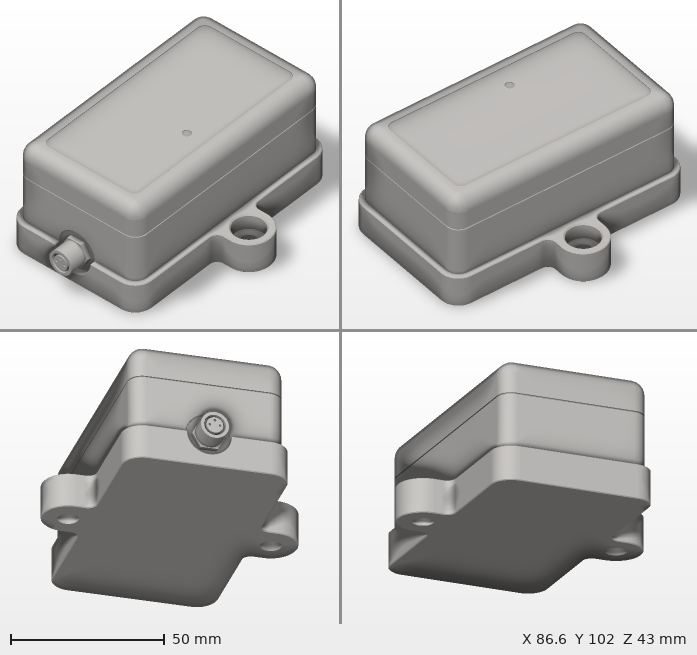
import cadquery as cq

base_width = 56.0
base_length = 96.0
base_height = 12.0
base_corner_radius = 7.0
base_edge_chamfer = 0.3

ear_offset = 34.3
ear_radius = 9.0
ear_root_fillet = 3.0
screw_hole_diameter = 7.0
screw_head_diameter = 12.0
screw_head_depth = 6.0
hole_chamfer = 0.5

ledge_width = 2
body_width = base_width - 2 * ledge_width
body_length = base_length - 2 * ledge_width
total_height = 43.0
body_corner_radius = base_corner_radius - ledge_width
corner_margin = 0.01
lid_edge_radius = body_corner_radius - corner_margin

seam_height = 30.6
seam_gap = 0.5
seam_depth = 0.5

label_width = 40.0
label_length = 80.0
label_corner_radius = 3.0
label_depth = 0.3
indicator_x = 11.8
indicator_y = -5.0
indicator_diameter = 3.3
indicator_depth = 0.3

connector_z = base_height
pocket_diameter = 15.1
pocket_chamfer = 0.3
pocket_floor_depth = 0.5
nut_across_corners = 11.5
nut_reach = 1.2
plug_diameter = 9.5
overall_length = 102
socket_groove_diameter = 7.3
socket_groove_depth = 2
core_diameter = 5.6
pin_circle_radius = 1.7
pin_diameter = 0.9
pin_hole_depth = 1

wall_y = -body_length / 2
base_front_y = -base_length / 2
pocket_floor_y = wall_y + pocket_floor_depth
nut_front_y = wall_y - nut_reach
plug_tip_y = base_length / 2 - overall_length


def rounded_block(width, length, height, corner_radius, bottom_z):
    """Upright block with rounded vertical edges, centred on the Z axis."""
    block = cq.Workplane("XY").workplane(offset=bottom_z).rect(width, length).extrude(height)
    return block.edges("|Z").fillet(corner_radius)


def connector_plane(y):
    """Sketch plane facing -Y, centred on the connector axis."""
    return cq.Workplane("XZ", origin=(0, y, connector_z))


def make_base():
    base = rounded_block(base_width, base_length, base_height, base_corner_radius, 0)
    ears = cq.Workplane("XY").slot2D(2 * (ear_offset + ear_radius), 2 * ear_radius).extrude(base_height)
    base = base.union(ears)
    root_x = base_width / 2
    for x in (-root_x, root_x):
        for y in (-ear_radius, ear_radius):
            corner = cq.selectors.NearestToPointSelector((x, y, base_height / 2))
            base = base.edges("|Z").edges(corner).fillet(ear_root_fillet)
    return base.faces("<Z or >Z").edges().chamfer(base_edge_chamfer)


def make_body():
    body = rounded_block(body_width, body_length, total_height, body_corner_radius, 0)
    return body.faces(">Z").edges().fillet(lid_edge_radius)


def make_screw_holes():
    head_seat_z = base_height - screw_head_depth
    hole_radius = screw_hole_diameter / 2
    head_radius = screw_head_diameter / 2
    profile = [
        (0, 0),
        (hole_radius, 0),
        (hole_radius, head_seat_z - hole_chamfer),
        (hole_radius + hole_chamfer, head_seat_z),
        (head_radius, head_seat_z),
        (head_radius, base_height - hole_chamfer),
        (head_radius + hole_chamfer, base_height),
        (0, base_height),
    ]
    hole = cq.Workplane("XZ").polyline(profile).close().revolve(360, (0, 0, 0), (0, 1, 0))
    return hole.translate((-ear_offset, 0, 0)).union(hole.translate((ear_offset, 0, 0)))


def make_seam():
    outer = rounded_block(body_width, body_length, seam_gap, body_corner_radius, seam_height)
    inner = rounded_block(
        body_width - 2 * seam_depth,
        body_length - 2 * seam_depth,
        seam_gap,
        body_corner_radius - seam_depth,
        seam_height,
    )
    return outer.cut(inner)


def make_lid_recesses():
    floor_z = total_height - label_depth
    label = rounded_block(label_width, label_length, label_depth, label_corner_radius, floor_z)
    indicator = (
        cq.Workplane("XY", origin=(indicator_x, indicator_y, floor_z))
        .circle(indicator_diameter / 2)
        .extrude(-indicator_depth)
    )
    return label.union(indicator)


def make_pocket_rim(face_y):
    """Cone that breaks the edge of the pocket where it opens through a face at face_y."""
    rim = connector_plane(face_y).circle(pocket_diameter / 2 + pocket_chamfer)
    return rim.extrude(-pocket_chamfer, taper=45)


def make_connector_pocket():
    radius = pocket_diameter / 2
    ledge_radius = radius + pocket_chamfer
    pocket = connector_plane(pocket_floor_y).circle(radius).extrude(pocket_floor_y - base_front_y)
    above_ledge = connector_plane(wall_y).rect(2 * ledge_radius, ledge_radius, centered=(True, False))
    wall_rim = make_pocket_rim(wall_y).intersect(above_ledge.extrude(-pocket_chamfer))
    ledge_bevel = (
        connector_plane(wall_y)
        .polyline([
            (-ledge_radius, 0),
            (ledge_radius, 0),
            (radius, -pocket_chamfer),
            (-radius, -pocket_chamfer),
        ])
        .close()
        .extrude(ledge_width)
    )
    return pocket.union(wall_rim).union(make_pocket_rim(base_front_y)).union(ledge_bevel)


def make_connector():
    nut = connector_plane(pocket_floor_y).polygon(6, nut_across_corners)
    nut = nut.extrude(pocket_floor_y - nut_front_y)
    plug = connector_plane(pocket_floor_y).circle(plug_diameter / 2)
    plug = plug.extrude(pocket_floor_y - plug_tip_y)
    groove = connector_plane(plug_tip_y).circle(socket_groove_diameter / 2).circle(core_diameter / 2)
    groove = groove.extrude(-socket_groove_depth)
    pin_places = [(-pin_circle_radius, 0), (0, pin_circle_radius), (pin_circle_radius, 0)]
    pins = connector_plane(plug_tip_y).pushPoints(pin_places)
    pins = pins.circle(pin_diameter / 2).extrude(-pin_hole_depth)
    return nut.union(plug).cut(groove).cut(pins)


housing = make_base().union(make_body())
housing = housing.cut(make_screw_holes()).cut(make_seam()).cut(make_lid_recesses())
result = housing.cut(make_connector_pocket()).union(make_connector())